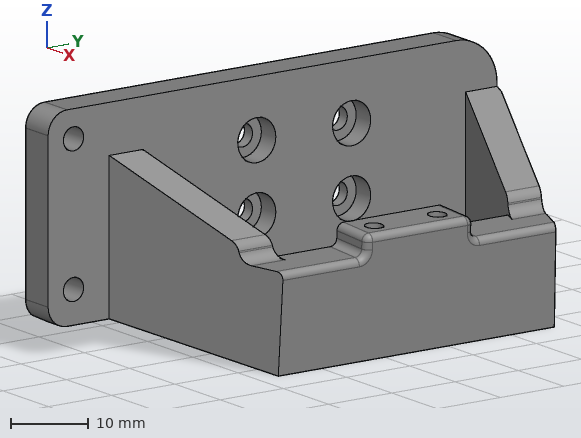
import cadquery as cq
import math

PLATE_T = 5.0
PLATE_H = 28.0
PLATE_Y_MIN = -40.5
PLATE_Y_MAX = 30.5
SMALL_CORNER_R = 3.0
LARGE_CORNER_R = 6.5

SCREW_D = 3.2
HEAD_D = 6.0
HEAD_SEAT_T = 1.8
CORNER_HOLE_INSET = 4.0
CORNER_HOLE_SPACING = 20.0
MID_HOLE_SPACING_Y = 15.0
MID_HOLE_SPACING_Z = 10.0
MID_HOLE_TOP_INSET = 8.5

BLOCK_HALF_W = 30.85
SIDE_TAPER = math.radians(20)
SIDE_WALL_T = 5.0
FLOOR_T = 3.0
WALL_TOP_Z = 20.95
WALL_TOP_SLOPE = math.radians(25.5)
STEP_R = 2.0
STEP_STRAIGHT = 0.2
BOTTOM_DROP = 4.55

LEAN = math.radians(3)
FRONT_WALL_T = 6.5
LEDGE_X = 30.485
LEDGE_Z = 9.27
STEP_FOOT = 1.85
BOSS_W = 17.0
BOSS_H = 3.0
EDGE_R = 1.0
TAP_D = 2.5
TAP_SPACING = 10.0
TAP_DEPTH = 8.0
TAP_INSET = FRONT_WALL_T / 2
DRILL_TIP_ANGLE = math.radians(118)

TOE_X = LEDGE_X - (LEDGE_Z + BOTTOM_DROP) * math.tan(LEAN)
BOTTOM_SLOPE = math.atan2(BOTTOM_DROP, TOE_X)
PLATE_LOW_Z = -PLATE_T * math.tan(BOTTOM_SLOPE)
OUTWARD = (math.cos(LEAN), 0, -math.sin(LEAN))
BIG = 100.0


def wall_point(forward, up):
    """XZ point given relative to the ledge corner, along the leaning wall's own axes."""
    return (
        LEDGE_X + forward * math.cos(LEAN) + up * math.sin(LEAN),
        LEDGE_Z - forward * math.sin(LEAN) + up * math.cos(LEAN),
    )


def wall_plane(forward):
    """Workplane facing out of the front wall: local x is Y, local y runs up the wall."""
    x, z = wall_point(forward, 0)
    return cq.Plane(origin=(x, 0, z), xDir=(0, 1, 0), normal=OUTWARD)


def extrude_y(outline):
    """Extrude a closed XZ outline well past the part on both sides."""
    return outline.close().extrude(BIG, both=True)


def on_circle(center, radius, angle):
    return (center[0] + radius * math.cos(angle), center[1] + radius * math.sin(angle))


def plan_prism(half_width, x_start, x_end):
    """Tall prism with tapering sides; half_width is measured at the plate face."""
    def half_at(x):
        return half_width - (x - PLATE_T) * math.tan(SIDE_TAPER)

    corners = [
        (x_start, -half_at(x_start)),
        (x_end, -half_at(x_end)),
        (x_end, half_at(x_end)),
        (x_start, half_at(x_start)),
    ]
    return cq.Workplane("XY").polyline(corners).close().extrude(BIG, both=True)


def make_plate():
    height = PLATE_H - PLATE_LOW_Z
    width = PLATE_Y_MAX - PLATE_Y_MIN
    plate = cq.Workplane("XY").box(PLATE_T, width, height, centered=False)
    plate = plate.translate((0, PLATE_Y_MIN, PLATE_LOW_Z))
    plate = plate.edges("|X and <Y").fillet(SMALL_CORNER_R)
    plate = plate.edges("|X and >Y and >Z").fillet(LARGE_CORNER_R)
    below = cq.Workplane("XZ").polyline([(0, 0), (PLATE_T, PLATE_LOW_Z), (0, PLATE_LOW_Z)])
    return plate.cut(extrude_y(below))


def side_outline():
    """Block seen from the side: sloping top, S-shaped step, ledge, leaning front, sloping bottom."""
    foot = wall_point(STEP_FOOT - FRONT_WALL_T, 0)
    low_center = wall_point(STEP_FOOT - FRONT_WALL_T, STEP_R)

    drop_to_center = STEP_R / math.cos(WALL_TOP_SLOPE)
    slope_dir = (math.cos(WALL_TOP_SLOPE), -math.sin(WALL_TOP_SLOPE))
    rel_x = low_center[0] - PLATE_T
    rel_z = low_center[1] - (WALL_TOP_Z - drop_to_center)
    along = rel_x * slope_dir[0] + rel_z * slope_dir[1]
    aside = rel_x * slope_dir[1] - rel_z * slope_dir[0]
    center_gap = math.hypot(2 * STEP_R, STEP_STRAIGHT)
    run = along - math.sqrt(center_gap ** 2 - aside ** 2)
    high_center = (
        PLATE_T + run * slope_dir[0],
        WALL_TOP_Z - drop_to_center + run * slope_dir[1],
    )

    top_angle = math.pi / 2 - WALL_TOP_SLOPE
    center_angle = math.atan2(low_center[1] - high_center[1], low_center[0] - high_center[0])
    join_angle = center_angle + math.atan2(STEP_STRAIGHT, 2 * STEP_R)
    foot_angle = -math.pi / 2 - LEAN
    low_join_angle = join_angle - math.pi
    return (
        cq.Workplane("XZ")
        .moveTo(PLATE_T, PLATE_LOW_Z)
        .lineTo(PLATE_T, WALL_TOP_Z)
        .lineTo(*on_circle(high_center, STEP_R, top_angle))
        .threePointArc(
            on_circle(high_center, STEP_R, (top_angle + join_angle) / 2),
            on_circle(high_center, STEP_R, join_angle),
        )
        .lineTo(*on_circle(low_center, STEP_R, low_join_angle))
        .threePointArc(on_circle(low_center, STEP_R, (low_join_angle + foot_angle) / 2), foot)
        .lineTo(LEDGE_X, LEDGE_Z)
        .lineTo(TOE_X, -BOTTOM_DROP)
    )


def make_interior():
    """Space between the side walls: the pocket, and the clearance above the ledge."""
    floor_rise = FLOOR_T / math.cos(BOTTOM_SLOPE)
    inner_top = wall_point(-FRONT_WALL_T, 0)
    slope = math.tan(BOTTOM_SLOPE)
    lean = math.tan(LEAN)
    inner_foot_x = (inner_top[0] + lean * (floor_rise - inner_top[1])) / (1 + lean * slope)
    outline = cq.Workplane("XZ").polyline([
        (PLATE_T, BIG),
        (PLATE_T, floor_rise - PLATE_T * slope),
        (inner_foot_x, floor_rise - inner_foot_x * slope),
        inner_top,
        (LEDGE_X, LEDGE_Z),
        (LEDGE_X, BIG),
    ])
    inner_half_w = BLOCK_HALF_W - SIDE_WALL_T / math.cos(SIDE_TAPER)
    return extrude_y(outline).intersect(plan_prism(inner_half_w, PLATE_T, LEDGE_X))


def make_boss():
    """Boss on the ledge, with rounded top edges and flared feet."""
    half = BOSS_W / 2
    foot = half + EDGE_R
    diagonal = EDGE_R * math.sqrt(0.5)
    return (
        cq.Workplane(wall_plane(forward=-FRONT_WALL_T))
        .moveTo(-foot, -EDGE_R)
        .lineTo(-foot, 0)
        .threePointArc((-foot + diagonal, EDGE_R - diagonal), (-half, EDGE_R))
        .lineTo(-half, BOSS_H - EDGE_R)
        .threePointArc(
            (-half + EDGE_R - diagonal, BOSS_H - EDGE_R + diagonal),
            (-half + EDGE_R, BOSS_H),
        )
        .lineTo(half - EDGE_R, BOSS_H)
        .threePointArc(
            (half - EDGE_R + diagonal, BOSS_H - EDGE_R + diagonal),
            (half, BOSS_H - EDGE_R),
        )
        .lineTo(half, EDGE_R)
        .threePointArc((foot - diagonal, EDGE_R - diagonal), (foot, 0))
        .lineTo(foot, -EDGE_R)
        .close()
        .extrude(FRONT_WALL_T)
    )


def round_front_edges(block):
    """Round the outer top edge of the ledge and of the boss in one run."""
    front = block.faces(cq.selectors.DirectionMinMaxSelector(cq.Vector(*OUTWARD)))
    lowest_ledge_z = LEDGE_Z - EDGE_R
    edges = front.edges().filter(lambda edge: edge.BoundingBox().zmin > lowest_ledge_z)
    return block.newObject(edges.vals()).fillet(EDGE_R)


def cut_tapped_holes(block):
    """Blind holes with drill tips, square to the boss top."""
    radius = TAP_D / 2
    tip = radius / math.tan(DRILL_TIP_ANGLE / 2)
    x, z = wall_point(-TAP_INSET, BOSS_H)
    profile = [(0, 0), (radius, 0), (radius, -TAP_DEPTH), (0, -TAP_DEPTH - tip)]
    for side in (-1, 1):
        origin = (x, side * TAP_SPACING / 2, z)
        section = cq.Plane(origin=origin, xDir=(0, 1, 0), normal=OUTWARD)
        drill = cq.Workplane(section).polyline(profile).close()
        block = block.cut(drill.revolve(360, (0, 0), (0, 1)))
    return block


def cut_plate_holes(body):
    """Plain holes at the narrow end, and head-recessed holes behind the block's pocket."""
    corner_y = PLATE_Y_MIN + CORNER_HOLE_INSET
    corner_top_z = PLATE_H - CORNER_HOLE_INSET
    mid_y = MID_HOLE_SPACING_Y / 2
    mid_top_z = PLATE_H - MID_HOLE_TOP_INSET
    corner_points = [(corner_y, corner_top_z), (corner_y, corner_top_z - CORNER_HOLE_SPACING)]
    mid_points = [
        (y, z)
        for y in (-mid_y, mid_y)
        for z in (mid_top_z, mid_top_z - MID_HOLE_SPACING_Z)
    ]
    back = cq.Workplane("YZ")
    shanks = back.pushPoints(corner_points + mid_points).circle(SCREW_D / 2).extrude(PLATE_T)
    seat = back.workplane(offset=HEAD_SEAT_T)
    heads = seat.pushPoints(mid_points).circle(HEAD_D / 2).extrude(PLATE_T - HEAD_SEAT_T)
    return body.cut(shanks).cut(heads)


def make_block():
    block = extrude_y(side_outline())
    block = block.intersect(plan_prism(BLOCK_HALF_W, PLATE_T, LEDGE_X))
    block = block.cut(make_interior()).union(make_boss())
    beyond_plate = cq.Workplane("XY").box(BIG, BIG, BIG).translate((0, PLATE_Y_MAX + BIG / 2, 0))
    block = round_front_edges(block.cut(beyond_plate))
    return cut_tapped_holes(block)


result = cut_plate_holes(make_plate().union(make_block()))